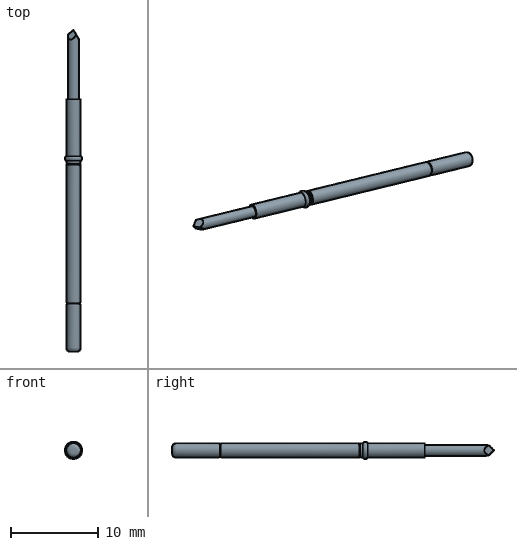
import cadquery as cq
import math

total_length = 37.0

body_diameter = 1.65
body_radius = body_diameter / 2
body_end = 29.05
tail_rounding = 0.48

plunger_diameter = 1.3
plunger_radius = plunger_diameter / 2
point_facets = 3
facet_half_angle = 30.0

bead_diameter = 2.0
bead_rear = 21.95
bead_width = 0.55

groove_depth = 0.2
bottom_radius = body_radius - groove_depth
tail_groove_center = 5.55
tail_groove_floor = 0.07
bead_groove_rear = 21.5
bead_groove_floor = 0.1


def revolve_about_axis(profile):
    """Close a half profile, drawn as (radius, y), and turn it around the Y axis."""
    return profile.close().revolve(360, (0, 0, 0), (0, 1, 0))


def make_body():
    """Cylinder from the tail to the plunger, with a rounded tail edge."""
    cylinder = cq.Workplane("XZ").circle(body_radius).extrude(-body_end)
    return cylinder.faces("<Y").edges().fillet(tail_rounding)


def make_bead():
    """Ring with a crowned outer surface."""
    bead_front = bead_rear + bead_width
    crown = (bead_diameter / 2, bead_rear + bead_width / 2)
    profile = (
        cq.Workplane("XY")
        .moveTo(0, bead_rear)
        .lineTo(body_radius, bead_rear)
        .threePointArc(crown, (body_radius, bead_front))
        .lineTo(0, bead_front)
    )
    return revolve_about_axis(profile)


def make_tail_groove_cutter():
    """Ring that leaves a rounded shoulder on both sides of a narrow floor."""
    floor_rear = tail_groove_center - tail_groove_floor / 2
    floor_front = tail_groove_center + tail_groove_floor / 2
    profile = (
        cq.Workplane("XY")
        .moveTo(body_radius, floor_rear - groove_depth)
        .radiusArc((bottom_radius, floor_rear), -groove_depth)
        .lineTo(bottom_radius, floor_front)
        .radiusArc((body_radius, floor_front + groove_depth), -groove_depth)
    )
    return revolve_about_axis(profile)


def make_bead_groove_cutter():
    """Ring that leaves a square wall toward the tail and a rounded shoulder toward the bead."""
    floor_front = bead_groove_rear + bead_groove_floor
    profile = (
        cq.Workplane("XY")
        .moveTo(body_radius, bead_groove_rear)
        .lineTo(bottom_radius, bead_groove_rear)
        .lineTo(bottom_radius, floor_front)
        .radiusArc((body_radius, floor_front + groove_depth), -groove_depth)
    )
    return revolve_about_axis(profile)


def make_plunger():
    """Round rod ground to a three-sided point, with one flat facing +X."""
    rod = cq.Workplane("XZ", origin=(0, body_end, 0)).circle(plunger_radius).extrude(body_end - total_length)
    cutter_reach = plunger_diameter
    flat_length = cutter_reach / math.tan(math.radians(facet_half_angle))
    cutter = (
        cq.Workplane("XY")
        .moveTo(0, total_length)
        .lineTo(cutter_reach, total_length - flat_length)
        .lineTo(cutter_reach, total_length)
        .close()
        .extrude(cutter_reach, both=True)
    )
    for facet in range(point_facets):
        rod = rod.cut(cutter.rotate((0, 0, 0), (0, 1, 0), facet * 360 / point_facets))
    return rod


body = make_body().union(make_bead())
body = body.cut(make_tail_groove_cutter()).cut(make_bead_groove_cutter())
result = body.union(make_plunger())